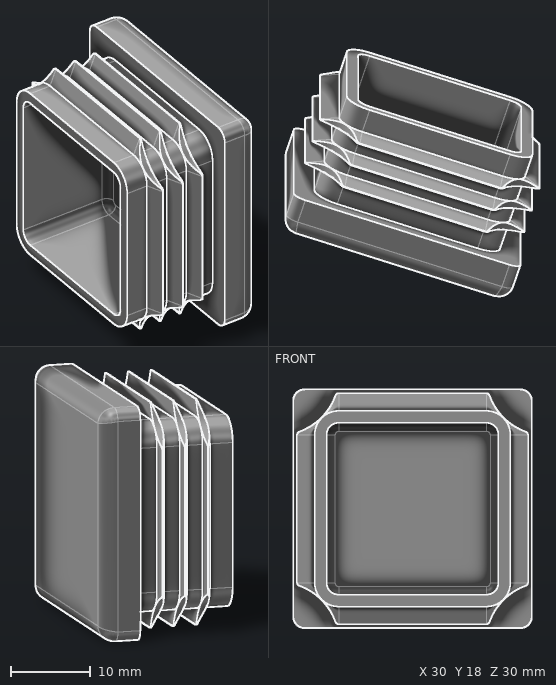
import cadquery as cq
import math

plate_side = 30.0
plate_thickness = 5.0
plate_corner_radius = 1.5
plate_back_fillet = 2.0

total_depth = 18.0
plug_length = total_depth - plate_thickness
plug_side = 24.57
plug_corner_radius = 3.0
wall = 1.5
floor_fillet = 1.05

fin_count = 3
fin_pitch = 3.0
fin_height = 2.22
fin_root_thickness = 1.0
fin_tip_thickness = 0.1
fin_end_radius = 0.45
notch_radius = 7.5
notch_clearance = 0.03


def rounded_square(side, corner_radius, start_y, length):
    """Square bar with rounded corners, running from start_y towards -Y."""
    bar = cq.Workplane("XZ", origin=(0, start_y, 0)).rect(side, side).extrude(length)
    return bar.edges("|Y").fillet(corner_radius)


def make_plate():
    """Cover plate with its back edges rounded over."""
    plate = rounded_square(plate_side, plate_corner_radius, plate_thickness, plate_thickness)
    return plate.faces(">Y").edges().fillet(plate_back_fillet)


def make_cavity():
    """Hollow of the plug, open at the front, with a filleted floor on the plate at Y = 0."""
    cavity = rounded_square(plug_side - 2 * wall, plug_corner_radius - wall, 0, plug_length)
    return cavity.faces(">Y").edges().fillet(floor_fillet)


def make_fin():
    """Fin with a flat back at Y = 0 and a sloping front, notched at its four corners."""
    tip_side = plug_side + 2 * fin_height
    tip_radius = plug_corner_radius + fin_height
    slope_depth = fin_root_thickness - fin_tip_thickness
    slope_angle = math.degrees(math.atan2(fin_height, slope_depth))
    rim = rounded_square(tip_side, tip_radius, 0, fin_tip_thickness)
    sloped_ring = rim.faces("<Y").wires().toPending().extrude(slope_depth, taper=slope_angle)

    arc_center = plug_side / 2 - plug_corner_radius
    notch_distance = plug_corner_radius + notch_clearance + notch_radius
    notch_center = arc_center + notch_distance / math.sqrt(2)
    notches = (
        cq.Workplane("XZ")
        .rect(2 * notch_center, 2 * notch_center, forConstruction=True)
        .vertices()
        .circle(notch_radius)
        .extrude(fin_root_thickness)
    )
    square = cq.Workplane("XZ").rect(tip_side, tip_side).extrude(fin_root_thickness)
    notched_square = square.cut(notches).edges("|Y").fillet(fin_end_radius)
    return sloped_ring.intersect(notched_square)


plug = rounded_square(plug_side, plug_corner_radius, 0, plug_length)
result = make_plate().union(plug)

fin = make_fin()
for index in range(1, fin_count + 1):
    result = result.union(fin.translate((0, -index * fin_pitch, 0)))

result = result.cut(make_cavity())